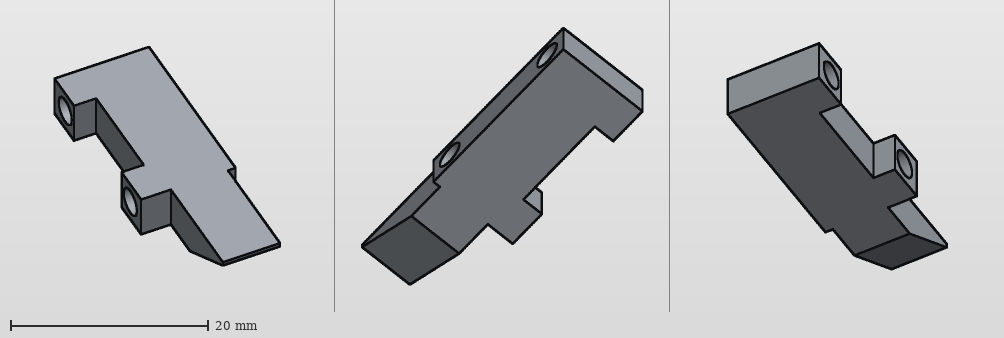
import cadquery as cq
import math

total_length = 32.0
body_length = 20.0
body_width = 10.7
height = 4.85

lug_length = 4.5
notch_depth = 2.5

tongue_front = 3.35
tongue_width = 6.45
tip_thickness = 0.48
ramp_angle = 30.0
ramp_length = (height - tip_thickness) / math.tan(math.radians(ramp_angle))

hole_diameter = 3.0
hole_end_distance = 2.5
hole_height = height / 2


def make_body():
    """Rectangular block with a notch that leaves a lug at each end."""
    block = cq.Workplane("XY").box(body_length, body_width, height, centered=False)
    notch_length = body_length - 2 * lug_length
    notch = (
        cq.Workplane("XY")
        .box(notch_length, notch_depth, height, centered=False)
        .translate((lug_length, 0, 0))
    )
    return block.cut(notch)


def make_tongue():
    """Bar whose underside rises to a thin tip."""
    profile = [
        (body_length, 0),
        (total_length - ramp_length, 0),
        (total_length, height - tip_thickness),
        (total_length, height),
        (body_length, height),
    ]
    return (
        cq.Workplane("XZ", origin=(0, tongue_front, 0))
        .polyline(profile)
        .close()
        .extrude(-tongue_width)
    )


def make_holes():
    """Cylinders through the lugs and the body behind them."""
    centers = [
        (hole_end_distance, hole_height),
        (body_length - hole_end_distance, hole_height),
    ]
    return cq.Workplane("XZ").pushPoints(centers).circle(hole_diameter / 2).extrude(-body_width)


result = make_body().union(make_tongue()).cut(make_holes())